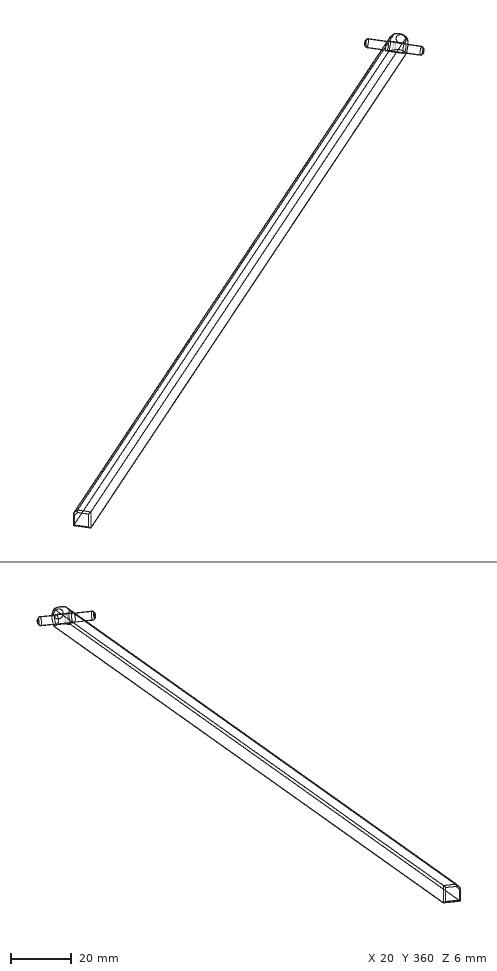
import cadquery as cq

BAR_LENGTH = 360.0
BAR_WIDTH = 6.0
BAR_OFFSET_X = 0.5
BAR_EDGE_CHAMFER = 1.4
FRONT_END_CHAMFER = 0.6

BACK_END_RADIUS = 1.7
CONE_SLOPE = 0.7
CONE_BASE_RADIUS = BAR_WIDTH
CONE_LENGTH = (CONE_BASE_RADIUS - BACK_END_RADIUS) / CONE_SLOPE

PIN_LENGTH = 20.0
PIN_DIAMETER = 3.0
PIN_END_CHAMFER = 0.6
PIN_FROM_BACK_END = 6.0
PIN_Y = BAR_LENGTH - PIN_FROM_BACK_END
PIN_HOLE_DIAMETER = 3.4


def make_cross_cylinder(diameter):
    """Cylinder along X on the pin axis, as long as the pin."""
    return (
        cq.Workplane("YZ")
        .center(PIN_Y, 0)
        .circle(diameter / 2)
        .extrude(PIN_LENGTH / 2, both=True)
    )


def make_pin():
    """Round pin with chamfered ends."""
    return make_cross_cylinder(PIN_DIAMETER).faces("<X or >X").chamfer(PIN_END_CHAMFER)


def make_turned_envelope():
    """Round envelope around the Y axis that trims the back end of the bar to a cone."""
    profile = [
        (0, 0),
        (CONE_BASE_RADIUS, 0),
        (CONE_BASE_RADIUS, BAR_LENGTH - CONE_LENGTH),
        (BACK_END_RADIUS, BAR_LENGTH),
        (0, BAR_LENGTH),
    ]
    return cq.Workplane("XY").polyline(profile).close().revolve(360, (0, 0), (0, 1))


def make_bar():
    """Square bar with one chamfered long edge, a coned back end and a cross hole."""
    return (
        cq.Workplane("XY")
        .box(BAR_WIDTH, BAR_LENGTH, BAR_WIDTH, centered=(True, False, True))
        .edges("|Y and <(1, 0, -1)")
        .chamfer(BAR_EDGE_CHAMFER)
        .faces("<Y")
        .chamfer(FRONT_END_CHAMFER)
        .intersect(make_turned_envelope())
        .translate((BAR_OFFSET_X, 0, 0))
        .cut(make_cross_cylinder(PIN_HOLE_DIAMETER))
    )


bar = make_bar()
pin = make_pin()

result = cq.Compound.makeCompound([bar.val(), pin.val()])